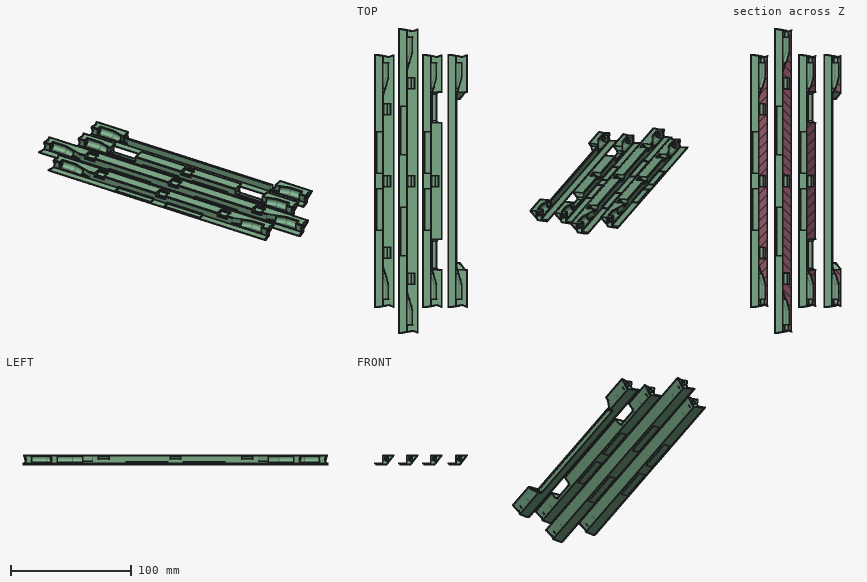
import cadquery as cq
import math

LONG_RAIL = 253.2
SHORT_RAIL = 210.5
OVERALL_WIDTH = 76.7
RAIL_WIDTH = 15.7
PITCH = 20.0
FIRST_RAIL_X = -OVERALL_WIDTH / 2
LAST_RAIL_X = OVERALL_WIDTH / 2 - RAIL_WIDTH

HEIGHT = 7.8
FLANGE_THICKNESS = 1.3
WALL_X = 6.3
WALL_CHAMFER = 0.5
BACK_LEAN = 6.0
BACK_FOOT_X = RAIL_WIDTH - BACK_LEAN
FLANGE_BEVEL = 1.3

APEX_X = WALL_X + 3.0
APEX_Z = 4.3
SIDE_SLOPE = 0.18
UPPER_SLOPE = 0.36
LOWER_SLOPE = 0.33
BACK_SLOPE = 0.38
END_DEPTH = SIDE_SLOPE * APEX_X + LOWER_SLOPE * (APEX_Z - FLANGE_THICKNESS)
HOLE_DIAMETER = 3.0
HOLE_X = WALL_X + 3.3
HOLE_Z = 4.8

GROOVE_INSET = 6.8
GROOVE_STRAIGHT = 12.5
GROOVE_SLANT = 0.29
GROOVE_FLOOR_Z = 2.0
GROOVE_RADIUS = 3.0
GROOVE_CENTRE_OFFSET = 2.5
GROOVE_MOUTH = 2.3
RUNOUT_FLOOR_Z = 2.8

WINDOW_LENGTH = 9.0
WINDOW_FLOOR_Z = 4.3
WINDOW_FLOOR_WIDTH = 4.0
WINDOW_RAMP_RISE = 2.3
LIP_WIDTH = 1.0
LIP_HEIGHT = 0.5
WINDOW_TOP_WIDTH = 6.8

RECESS_MARGIN = 1.5
RECESS_DEPTH = 0.5
UNDERCUT_TOP_Z = 2.5
UNDERCUT_DEPTH = 0.8

SHORT_WINDOW_Y = 59.8
LONG_WINDOW_Y = 81.3
SHORT_LABEL_Y = 23.8
SHORT_LABEL_LENGTH = 34.5
LONG_LABEL_Y = 42.0
LONG_LABEL_LENGTH = 40.5

BLOCK_END_Y = 74.0
BLOCK_TOE = 5.8
NOTCH_LENGTH = 25.3
NOTCH_FLOOR_Z = 2.3
NOTCH_LIP_WIDTH = 1.3
NOTCH_LIP_HEIGHT = 0.3
NOTCH_FLARE = 1.5
THIN_WALL = 0.8

CLEARANCE = 2.5


def prism(points, y_start, y_end):
    """Extrude an XZ outline along Y."""
    return cq.Workplane("XZ", origin=(0, y_end, 0)).polyline(points).close().extrude(y_end - y_start)


def both_ends(cutter):
    """A cutter at the +Y end together with its mirror image at the -Y end."""
    return [cutter, cutter.mirror("XZ")]


def plain_rail(length):
    outline = [
        (FLANGE_BEVEL, 0),
        (BACK_FOOT_X, 0),
        (RAIL_WIDTH, HEIGHT),
        (WALL_X + WALL_CHAMFER, HEIGHT),
        (WALL_X, HEIGHT - WALL_CHAMFER),
        (WALL_X, FLANGE_THICKNESS),
        (0, FLANGE_THICKNESS),
    ]
    return prism(outline, -length / 2, length / 2)


def end_pyramid(length):
    """Three-sided pyramid pointing into the rail."""
    rise = 2 * END_DEPTH
    back_x = rise / BACK_SLOPE
    side_run = rise + SIDE_SLOPE * back_x
    apex = cq.Vector(APEX_X, length / 2 - END_DEPTH, APEX_Z)
    base = [
        apex + cq.Vector(-rise / SIDE_SLOPE, rise, 0),
        apex + cq.Vector(back_x, rise, side_run / UPPER_SLOPE),
        apex + cq.Vector(back_x, rise, -side_run / LOWER_SLOPE),
    ]
    outlines = [base] + [[apex, base[i], base[(i + 1) % 3]] for i in range(3)]
    faces = [cq.Face.makeFromWires(cq.Wire.makePolygon(points, close=True)) for points in outlines]
    return cq.Workplane(cq.Solid.makeSolid(cq.Shell.makeShell(faces)).fix())


def cable_hole(length):
    depth = GROOVE_INSET + CLEARANCE
    hole = cq.Workplane("XZ", origin=(HOLE_X, length / 2, HOLE_Z)).circle(HOLE_DIAMETER / 2)
    return hole.extrude(depth)


def cable_groove(length):
    """Round-backed groove: a straight leg, then a leg that slants outwards until its axis meets the wall."""
    start_y = length / 2 - GROOVE_INSET
    bend_y = start_y - GROOVE_STRAIGHT
    slant_length = GROOVE_CENTRE_OFFSET / GROOVE_SLANT
    centre_x = WALL_X + GROOVE_CENTRE_OFFSET
    centre_z = GROOVE_FLOOR_Z + GROOVE_RADIUS
    mouth_x = centre_x + GROOVE_MOUTH
    mouth_z = centre_z + math.sqrt(GROOVE_RADIUS**2 - GROOVE_MOUTH**2)
    outside_x = WALL_X - CLEARANCE

    def profile(y):
        return (
            cq.Workplane("XZ", origin=(0, y, 0))
            .moveTo(outside_x, GROOVE_FLOOR_Z)
            .lineTo(centre_x, GROOVE_FLOOR_Z)
            .threePointArc((centre_x + GROOVE_RADIUS, centre_z), (mouth_x, mouth_z))
            .lineTo(mouth_x, HEIGHT + CLEARANCE)
            .lineTo(outside_x, HEIGHT + CLEARANCE)
            .close()
        )

    straight = profile(start_y).extrude(GROOVE_STRAIGHT)
    slant_path = cq.Vector(-GROOVE_CENTRE_OFFSET, -slant_length, 0)
    slanted = cq.Workplane(cq.Solid.extrudeLinear(profile(bend_y).wires().val(), [], slant_path))
    return straight.union(slanted).union(groove_runout(bend_y - slant_length))


def groove_runout(start_y):
    """Wedge that carries the back edge of the groove on until it leaves the wall."""
    runout_length = GROOVE_MOUTH / GROOVE_SLANT
    outline = [(WALL_X, start_y), (WALL_X + GROOVE_MOUTH, start_y), (WALL_X, start_y - runout_length)]
    wedge = cq.Workplane("XY", origin=(0, 0, RUNOUT_FLOOR_Z)).polyline(outline).close()
    return wedge.extrude(HEIGHT)


def snap_window(centre_y):
    lip_z = WINDOW_FLOOR_Z + LIP_HEIGHT
    outline = [
        (WALL_X - CLEARANCE, lip_z),
        (WALL_X + LIP_WIDTH, lip_z),
        (WALL_X + LIP_WIDTH, WINDOW_FLOOR_Z),
        (WALL_X + WINDOW_FLOOR_WIDTH, WINDOW_FLOOR_Z),
        (WALL_X + WINDOW_FLOOR_WIDTH + WINDOW_RAMP_RISE, WINDOW_FLOOR_Z + WINDOW_RAMP_RISE),
        (WALL_X + WINDOW_TOP_WIDTH, HEIGHT),
        (WALL_X + WINDOW_TOP_WIDTH, HEIGHT + CLEARANCE),
        (WALL_X - CLEARANCE, HEIGHT + CLEARANCE),
    ]
    return prism(outline, centre_y - WINDOW_LENGTH / 2, centre_y + WINDOW_LENGTH / 2)


def label_recess(centre_y, recess_length):
    floor_z = FLANGE_THICKNESS - RECESS_DEPTH
    outline = [
        (RECESS_MARGIN, floor_z),
        (WALL_X + UNDERCUT_DEPTH, floor_z),
        (WALL_X, UNDERCUT_TOP_Z),
        (RECESS_MARGIN, UNDERCUT_TOP_Z),
    ]
    return prism(outline, centre_y - recess_length / 2, centre_y + recess_length / 2)


def back_notch():
    """Opening across the back, narrower at its floor, with a low lip left along the wall."""
    half = NOTCH_LENGTH / 2
    floor_half = half - NOTCH_FLARE
    flare_z = NOTCH_FLOOR_Z + NOTCH_FLARE
    lip_z = NOTCH_FLOOR_Z + NOTCH_LIP_HEIGHT
    centre_y = BLOCK_END_Y - half
    outline = [
        (-floor_half, NOTCH_FLOOR_Z),
        (floor_half, NOTCH_FLOOR_Z),
        (half, flare_z),
        (half, HEIGHT + CLEARANCE),
        (-half, HEIGHT + CLEARANCE),
        (-half, flare_z),
    ]
    start_x = WALL_X - CLEARANCE
    opening = cq.Workplane("YZ", origin=(start_x, centre_y, 0)).polyline(outline).close().extrude(RAIL_WIDTH)
    lip_length = NOTCH_LIP_WIDTH + CLEARANCE
    lip = cq.Workplane("XY").box(lip_length, NOTCH_LENGTH, lip_z, centered=(False, True, False))
    return opening.cut(lip.translate((start_x, centre_y, 0)))


def back_clearance():
    """Removes the back between the end blocks, leaving a thin wall and a sloping toe on each block."""
    toe_y = BLOCK_END_Y - BLOCK_TOE
    outline = [
        (-toe_y, 0),
        (toe_y, 0),
        (BLOCK_END_Y, BLOCK_TOE),
        (BLOCK_END_Y, HEIGHT),
        (-BLOCK_END_Y, HEIGHT),
        (-BLOCK_END_Y, BLOCK_TOE),
    ]
    start_x = WALL_X + THIN_WALL
    return cq.Workplane("YZ", origin=(start_x, 0, 0)).polyline(outline).close().extrude(RAIL_WIDTH)


def make_rail(length, flange_x, cutters):
    rail = plain_rail(length)
    end_cutters = [
        *both_ends(end_pyramid(length)),
        *both_ends(cable_hole(length)),
        *both_ends(cable_groove(length)),
    ]
    for cutter in end_cutters + cutters:
        rail = rail.cut(cutter)
    return rail.translate((flange_x, 0, 0))


triple_window_rail = make_rail(
    SHORT_RAIL,
    FIRST_RAIL_X,
    [
        *[snap_window(y) for y in (-SHORT_WINDOW_Y, 0, SHORT_WINDOW_Y)],
        *both_ends(label_recess(SHORT_LABEL_Y, SHORT_LABEL_LENGTH)),
    ],
)
long_rail = make_rail(
    LONG_RAIL,
    FIRST_RAIL_X + PITCH,
    [
        *[snap_window(y) for y in (-LONG_WINDOW_Y, 0, LONG_WINDOW_Y)],
        *both_ends(label_recess(LONG_LABEL_Y, LONG_LABEL_LENGTH)),
    ],
)
notched_rail = make_rail(
    SHORT_RAIL,
    FIRST_RAIL_X + 2 * PITCH,
    [
        snap_window(0),
        *both_ends(label_recess(SHORT_LABEL_Y, SHORT_LABEL_LENGTH)),
        *both_ends(back_notch()),
    ],
)
open_back_rail = make_rail(SHORT_RAIL, LAST_RAIL_X, [back_clearance()])

result = cq.Compound.makeCompound(
    [triple_window_rail.val(), long_rail.val(), notched_rail.val(), open_back_rail.val()]
)